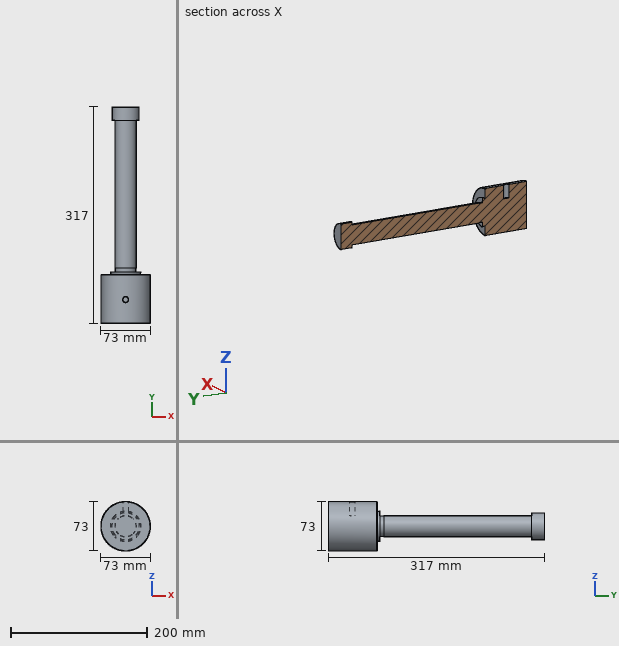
import cadquery as cq

overall_length = 317.0
head_length = 71.5
collar_length = 3.8
neck_length = 5.7
cap_length = 19.3

head_diameter = 73.0
collar_diameter = 45.0
collar_root_diameter = 43.0
neck_diameter = 30.5
shaft_diameter = 31.5
cap_diameter = 39.5

face_chamfer = 0.3
head_back_chamfer = 1.0

screw_hole_diameter = 8.0
screw_hole_chamfer = 0.5
screw_hole_y = 35.0

collar_end = head_length + collar_length
neck_end = collar_end + neck_length
cap_start = overall_length - cap_length


def cylinder_y(diameter, start, end):
    """Cylinder on the Y axis between two stations."""
    plane = cq.Plane(origin=(0, start, 0), xDir=(1, 0, 0), normal=(0, 1, 0))
    return cq.Workplane(plane).circle(diameter / 2).extrude(end - start)


def make_collar():
    """Thin collar that widens away from the head."""
    profile = [
        (0, head_length),
        (collar_root_diameter / 2, head_length),
        (collar_diameter / 2, collar_end),
        (0, collar_end),
    ]
    return cq.Workplane("XY").polyline(profile).close().revolve(360, (0, 0, 0), (0, 1, 0))


def make_screw_hole():
    """Hole from the top of the head down to the shaft seat, with a chamfered mouth."""
    head_radius = head_diameter / 2
    hole_radius = screw_hole_diameter / 2
    mouth_radius = hole_radius + screw_hole_chamfer
    profile = [
        (0, 0),
        (hole_radius, 0),
        (hole_radius, head_radius - screw_hole_chamfer),
        (mouth_radius, head_radius),
        (0, head_radius),
    ]
    drill = cq.Workplane("XZ").polyline(profile).close().revolve(360, (0, 0, 0), (0, 1, 0))
    shaft_seat = cylinder_y(shaft_diameter, 0, head_length)
    return drill.translate((0, screw_hole_y, 0)).cut(shaft_seat)


head = cylinder_y(head_diameter, 0, head_length)
head = head.faces("<Y").edges().chamfer(face_chamfer)
head = head.faces(">Y").edges().chamfer(head_back_chamfer)
neck = cylinder_y(neck_diameter, collar_end, neck_end)
shaft = cylinder_y(shaft_diameter, neck_end, cap_start)
cap = cylinder_y(cap_diameter, cap_start, overall_length)

result = head.cut(make_screw_hole()).union(make_collar()).union(neck).union(shaft).union(cap)